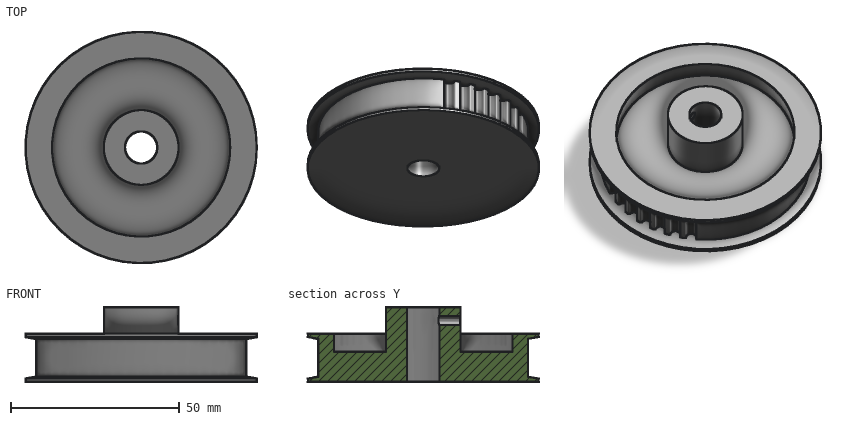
import cadquery as cq
import math

flange_radius = 34.4
belt_radius = 31.25
rim_height = 14.3
total_height = 22.2

flange_edge_thickness = 1.0
flange_root_thickness = 1.6

recess_radius = 26.5
recess_floor_z = 9.0
hub_radius = 22.2 / 2
bore_radius = 9.5 / 2

screw_hole_diameter = 2.55
screw_hole_z = (rim_height + total_height) / 2

full_circle_teeth = 40
grooves_each_side = 3
groove_radius = 1.5
groove_depth = 2.05
tooth_tip_radius = 0.4
cutter_overrun = 0.7


def pulley_body():
    """Revolve the solid section, including both flanges, recess and bore."""
    section = [
        (bore_radius, 0),
        (flange_radius, 0),
        (flange_radius, flange_edge_thickness),
        (belt_radius, flange_root_thickness),
        (belt_radius, rim_height - flange_root_thickness),
        (flange_radius, rim_height - flange_edge_thickness),
        (flange_radius, rim_height),
        (recess_radius, rim_height),
        (recess_radius, recess_floor_z),
        (hub_radius, recess_floor_z),
        (hub_radius, total_height),
        (bore_radius, total_height),
    ]
    return cq.Workplane("XZ").polyline(section).close().revolve(360, (0, 0), (0, 1))


def groove_cutter():
    """One belt groove at +Y, with its mouth flared to round the tooth tips."""
    mouth_half_width = groove_radius + tooth_tip_radius
    mouth_y = math.sqrt(belt_radius**2 - mouth_half_width**2)
    flare_start_y = mouth_y - tooth_tip_radius
    bottom_y = belt_radius - groove_depth
    arc_center_y = bottom_y + groove_radius
    outside_y = belt_radius + cutter_overrun
    diagonal = tooth_tip_radius * math.sqrt(0.5)
    tip_mid_x = mouth_half_width - diagonal
    tip_mid_y = flare_start_y + diagonal
    return (
        cq.Workplane("XY", origin=(0, 0, flange_root_thickness))
        .moveTo(-mouth_half_width, outside_y)
        .lineTo(-mouth_half_width, mouth_y)
        .threePointArc((-tip_mid_x, tip_mid_y), (-groove_radius, flare_start_y))
        .lineTo(-groove_radius, arc_center_y)
        .threePointArc((0, bottom_y), (groove_radius, arc_center_y))
        .lineTo(groove_radius, flare_start_y)
        .threePointArc((tip_mid_x, tip_mid_y), (mouth_half_width, mouth_y))
        .lineTo(mouth_half_width, outside_y)
        .close()
        .extrude(rim_height - 2 * flange_root_thickness)
    )


def belt_core():
    """Cylinder bounded by the belt surface, between the flange roots."""
    return (
        cq.Workplane("XY", origin=(0, 0, flange_root_thickness))
        .circle(belt_radius)
        .extrude(rim_height - 2 * flange_root_thickness)
    )


def cut_grooves(body):
    cutter = groove_cutter().intersect(belt_core())
    tooth_pitch_angle = 360 / full_circle_teeth
    for index in range(-grooves_each_side, grooves_each_side + 1):
        body = body.cut(cutter.rotate((0, 0, 0), (0, 0, 1), index * tooth_pitch_angle))
    return body


def screw_hole():
    """Hole from the bore out through the +X side of the hub."""
    return (
        cq.Workplane("YZ", origin=(0, 0, screw_hole_z))
        .circle(screw_hole_diameter / 2)
        .extrude(hub_radius + cutter_overrun)
    )


result = cut_grooves(pulley_body()).cut(screw_hole())